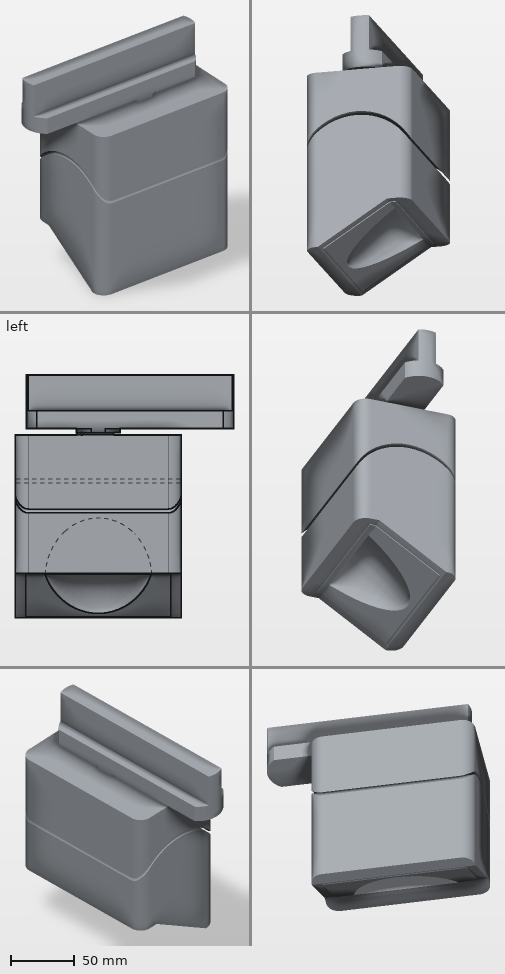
import cadquery as cq
import math

block_width = 85.0
block_length = 130.0
corner_radius = 10.0
block_top = 143.0

arch_radius = 50.0
upper_arch_top = 108.7
lower_arch_top = 105.6

stem_radius = 12.2
disc_radius = 17.1
disc_bottom = 144.8
disc_top = 147.8
stop_size = 3.0
stop_center_y = 15.2

handle_width = 32.3
handle_front = -106.0
handle_back = 56.2
handle_end_radius = 20.0
flange_top = 161.9
rib_width = 14.8
handle_top = 190.0

step_height = 35.0
slope_start_x = -24.7
slope_end_x = 31.4
slope_angle = math.atan2(step_height, slope_end_x - slope_start_x)

pad_length = 113.6
pad_thickness = 0.66
pad_start_x = -29.5
pad_bottom = 1.0

recess_radius = 45.0
recess_half_length = 2 * recess_radius
recess_center_x = -54.7
recess_center_z = 44.0


def rounded_block(bottom, top):
    """Upright block with rounded vertical corners."""
    return (
        cq.Workplane("XY", origin=(0, 0, bottom))
        .rect(block_width, block_length)
        .extrude(top - bottom)
        .edges("|Z")
        .fillet(corner_radius)
    )


def arch_cylinder(arch_top):
    """Cylinder along Y whose crown lies at the given height."""
    return (
        cq.Workplane("XZ", origin=(0, 0, arch_top - arch_radius))
        .circle(arch_radius)
        .extrude(block_length, both=True)
    )


def below_arch(arch_top):
    """Everything under an arch across the width of the block."""
    axis_height = arch_top - arch_radius
    under_axis = cq.Workplane("XY").box(
        2 * arch_radius, 2 * block_length, axis_height, centered=(True, True, False)
    )
    return arch_cylinder(arch_top).union(under_axis)


def handle_bar(width, bottom, top):
    """Bar along Y with rounded ends, trimmed to the given width."""
    middle_y = (handle_front + handle_back) / 2
    length = handle_back - handle_front
    bar = (
        cq.Workplane("XY", origin=(0, middle_y, bottom))
        .slot2D(length, 2 * handle_end_radius, 90)
        .extrude(top - bottom)
    )
    trim = cq.Workplane("XY", origin=(0, middle_y, bottom)).rect(width, length).extrude(top - bottom)
    return bar.intersect(trim)


def stem_and_disc():
    """Round stem under a disc with flat sides, and the square stop beside the stem."""
    stem = cq.Workplane("XY", origin=(0, 0, block_top)).circle(stem_radius).extrude(disc_bottom - block_top)
    disc_height = disc_top - disc_bottom
    disc_plane = cq.Workplane("XY", origin=(0, 0, disc_bottom))
    flats = disc_plane.rect(handle_width, 2 * disc_radius).extrude(disc_height)
    disc = disc_plane.circle(disc_radius).extrude(disc_height).intersect(flats)
    stop = (
        cq.Workplane("XY", origin=(0, stop_center_y, block_top))
        .rect(stop_size, stop_size)
        .extrude(disc_bottom - block_top)
    )
    return stem.union(disc).union(stop)


def make_upper_body():
    """Saddle-shaped upper block with its stem and handle."""
    saddle = rounded_block(0, block_top).cut(below_arch(upper_arch_top))
    flange = handle_bar(handle_width, disc_top, flange_top)
    rib = handle_bar(rib_width, disc_top, handle_top)
    return saddle.union(stem_and_disc()).union(flange).union(rib)


def underside_cut():
    """Wedge removed below the flat step and the slope."""
    return (
        cq.Workplane("XZ")
        .moveTo(-block_width, 0)
        .lineTo(-block_width, step_height)
        .lineTo(slope_start_x, step_height)
        .lineTo(slope_end_x, 0)
        .close()
        .extrude(block_length, both=True)
    )


def underside_pad():
    """Thin pad following the end of the step and the slope."""
    pad_level = step_height - pad_thickness
    slope_shift = pad_thickness / math.sin(slope_angle) - pad_thickness / math.tan(slope_angle)
    pad_end_x = slope_end_x - pad_bottom / math.tan(slope_angle)
    return (
        cq.Workplane("XZ")
        .moveTo(pad_start_x, step_height)
        .lineTo(pad_start_x, pad_level)
        .lineTo(slope_start_x - slope_shift, pad_level)
        .lineTo(pad_end_x - pad_thickness / math.sin(slope_angle), pad_bottom)
        .lineTo(pad_end_x, pad_bottom)
        .lineTo(slope_start_x, step_height)
        .close()
        .extrude(pad_length / 2, both=True)
    )


def slope_recess():
    """Half egg on an axis parallel to the slope, ending where the slope starts."""
    egg = (
        cq.Workplane("XY")
        .ellipseArc(recess_half_length, recess_radius, 0, 90, startAtCurrent=False)
        .lineTo(0, 0)
        .close()
        .revolve(360, (0, 0, 0), (1, 0, 0))
        .rotate((0, 0, 0), (0, 1, 0), math.degrees(slope_angle))
        .translate((recess_center_x, 0, recess_center_z))
    )
    behind_step = cq.Workplane("XY", origin=(slope_start_x, 0, 0)).box(
        block_width, block_length, 2 * block_top, centered=(False, True, True)
    )
    return egg.intersect(behind_step)


def make_lower_body():
    """Arched lower block with a stepped underside, a pad and a recess."""
    block = rounded_block(0, block_top).intersect(below_arch(lower_arch_top))
    return block.cut(underside_cut()).union(underside_pad()).cut(slope_recess())


upper_body = make_upper_body()
lower_body = make_lower_body()
result = cq.Compound.makeCompound([upper_body.solids().val(), lower_body.solids().val()])